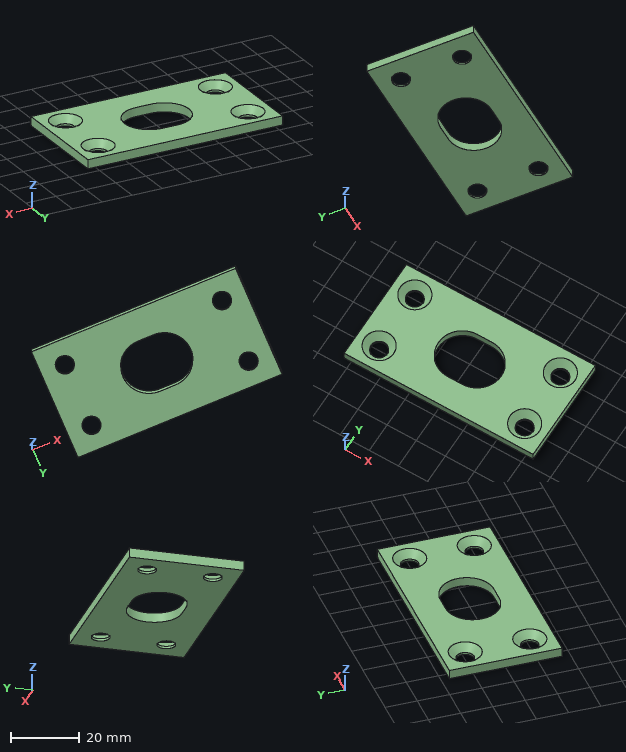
import cadquery as cq

length = 65.0
width = 35.0
thickness = 3.0

slot_length = 21.5
slot_width = 16.5

hole_diameter = 5.5
countersink_diameter = 10.0
countersink_angle = 90.0
hole_spacing_x = 50.0
hole_spacing_y = 20.0


def make_plate():
    return cq.Workplane("XY").box(length, width, thickness, centered=(True, True, False))


def cut_slot(body):
    return body.faces(">Z").workplane(origin=(0, 0, 0)).slot2D(slot_length, slot_width).cutThruAll()


def cut_screw_holes(body):
    return (
        body.faces(">Z")
        .workplane(origin=(0, 0, 0))
        .rarray(hole_spacing_x, hole_spacing_y, 2, 2)
        .cskHole(hole_diameter, countersink_diameter, countersink_angle)
    )


result = cut_screw_holes(cut_slot(make_plate()))